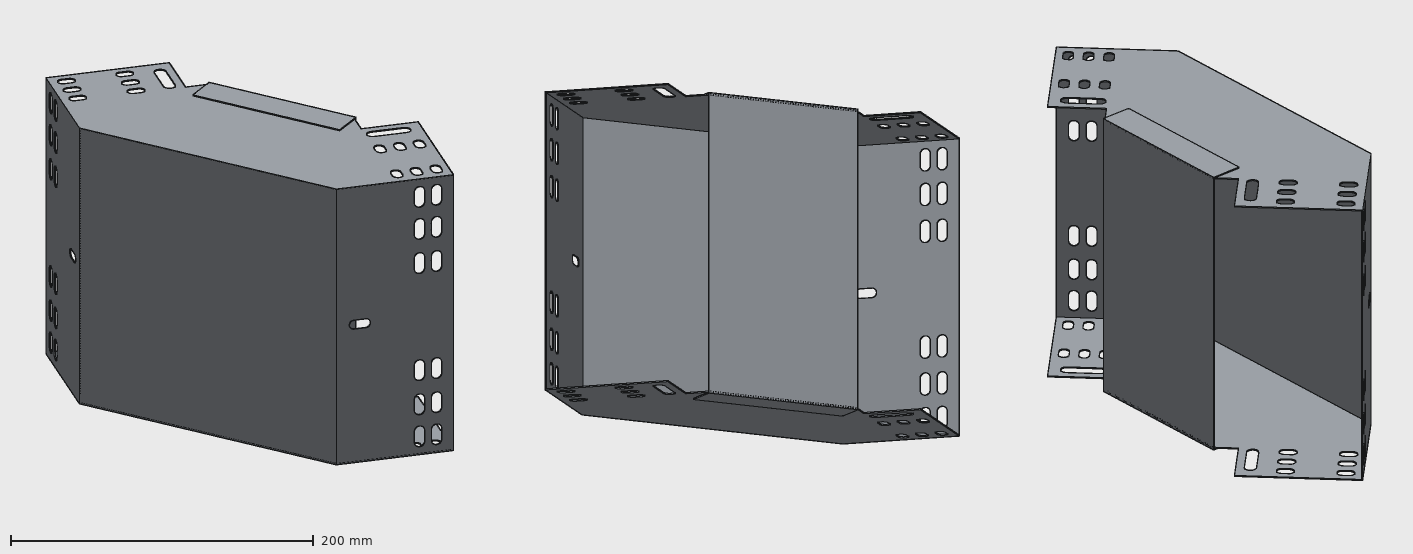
import cadquery as cq
import math


overall_width = 308.0
overall_depth = 117.0
front_width = 194.0
overall_height = 203.3
sheet = 0.83
notch_side = 39.0

clip_width = 111.0
clip_back = 101.5
lip_depth = 22.2

flange_slot_length = 12.0
flange_slot_width = 7.0
flange_slot_first = 8.5
flange_slot_pitch = 13.5
flange_slot_count = 3
flange_row_distances = (11.7, 51.7)

long_slot_length = 30.2
long_slot_width = 8.0
long_slot_from_end = 23.0
long_slot_from_front = 75.2

web_slot_length = 15.0
web_slot_width = 7.0
web_slot_columns = (11.7, 23.5)
web_slot_heights = (39.0, 64.0, 87.5)
web_hole_length = 14.5
web_hole_width = 6.5
web_hole_from_end = 64.5

tray_height = overall_height - 2 * sheet
middle_depth = clip_back - sheet

arm_angle = 45.0
diagonal = math.sqrt(0.5)
half_width = overall_width / 2
half_front = front_width / 2
corner_y = half_width - half_front
tip_x = half_width - (overall_depth - corner_y)
notch_x = tip_x - notch_side * diagonal
notch_y = overall_depth - notch_side * diagonal
middle_half_width = notch_x - (middle_depth - notch_y)
bend_inset = sheet * math.tan(math.radians(arm_angle / 2))
slant_inset = sheet / diagonal


def mirrored_outline(right_half):
    """Closed outline from its right half, listed from front to back."""
    left_half = [(-x, y) for x, y in reversed(right_half)]
    return right_half + left_half


def arm_plane(normal):
    """Plane at the left arm's outer corner; its x direction runs along the arm's front face."""
    return cq.Plane(origin=(-half_width, corner_y, 0), xDir=(diagonal, -diagonal, 0), normal=normal)


def both_arms(left_cutter):
    """The left arm's cutter together with its mirror image on the right arm."""
    return left_cutter.add(left_cutter.mirror("YZ").vals())


def flange_cutter():
    """Slots through the top and bottom flanges of both arms."""
    plane = arm_plane((0, 0, 1))
    columns = [flange_slot_first + i * flange_slot_pitch for i in range(flange_slot_count)]
    slot_centres = [(along, across) for along in columns for across in flange_row_distances]
    short_slots = (
        cq.Workplane(plane)
        .pushPoints(slot_centres)
        .slot2D(flange_slot_length, flange_slot_width, 90)
        .extrude(tray_height, both=True)
    )
    long_slot = (
        cq.Workplane(plane)
        .center(long_slot_from_end, long_slot_from_front)
        .slot2D(long_slot_length, long_slot_width)
        .extrude(tray_height, both=True)
    )
    return both_arms(short_slots.add(long_slot.vals()))


def web_cutter():
    """Upright slots and one lengthwise hole through the web of both arms."""
    plane = arm_plane((-diagonal, -diagonal, 0))
    slot_centres = [
        (along, side * height)
        for along in web_slot_columns
        for height in web_slot_heights
        for side in (-1, 1)
    ]
    upright_slots = (
        cq.Workplane(plane)
        .pushPoints(slot_centres)
        .slot2D(web_slot_length, web_slot_width, 90)
        .extrude(2 * sheet, both=True)
    )
    hole = (
        cq.Workplane(plane)
        .center(web_hole_from_end, 0)
        .slot2D(web_hole_length, web_hole_width)
        .extrude(2 * sheet, both=True)
    )
    return both_arms(upright_slots.add(hole.vals()))


def make_elbow():
    plan = mirrored_outline([
        (half_front, 0),
        (half_width, corner_y),
        (tip_x, overall_depth),
        (notch_x, notch_y),
        (middle_half_width, middle_depth),
    ])
    overrun = overall_width
    space = mirrored_outline([
        (half_front - bend_inset, sheet),
        (half_front + overrun, overrun + slant_inset),
    ])
    inner_height = tray_height - 2 * sheet
    body = cq.Workplane("XY").polyline(plan).close().extrude(tray_height / 2, both=True)
    hollow = cq.Workplane("XY").polyline(space).close().extrude(inner_height / 2, both=True)
    body = body.cut(hollow)
    for cutter in flange_cutter().vals() + web_cutter().vals():
        body = body.cut(cq.Workplane(cutter))
    return body


def make_clip():
    """Back wall with a lip folded over each flange."""
    outer = cq.Workplane("XY").box(clip_width, lip_depth, overall_height)
    outer = outer.translate((0, clip_back - lip_depth / 2, 0))
    inner = cq.Workplane("XY").box(clip_width, lip_depth, tray_height)
    inner = inner.translate((0, middle_depth - lip_depth / 2, 0))
    return outer.cut(inner)


elbow = make_elbow()
clip = make_clip()

result = cq.Compound.makeCompound([elbow.solids().val(), clip.solids().val()])